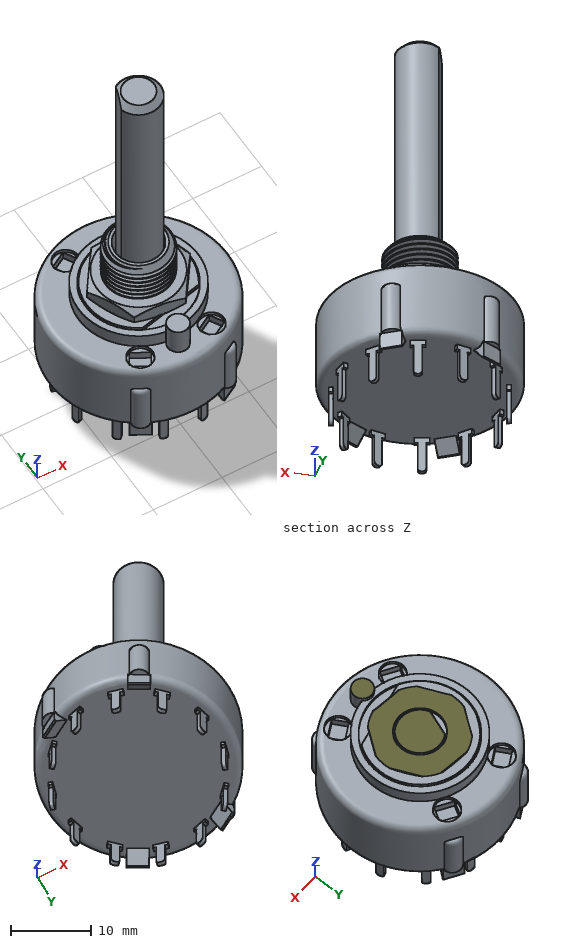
import cadquery as cq
import math


body_dia = 26.0
body_bottom = 5.0
body_top = 15.55
body_fillet = 1.0
boss_dia = 17.3
boss_top = 17.55

recess_dia = 15.3
recess_depth = 0.35
washer_dia = 15.0
washer_top = 17.7
washer_flat_distance = 5.65
washer_flat_angle = -76.5

nut_across_flats = 12.4
nut_top = 20.0
nut_angle = -5.6
nut_face_dia = 12.0
nut_chamfer_slope = math.radians(30)

thread_dia = 9.5
thread_depth = 0.65
thread_pitch = 0.8
thread_start = 18.7
thread_start_angle = 90
thread_crest_width = 0.1
thread_overcut = 0.1
bushing_top = 25.55
bushing_chamfer = 0.95
bore_dia = 6.7

shaft_dia = 6.3
shaft_top = 55.5
shaft_tip_dia = 4.5
shaft_tip_height = 0.85
shaft_flat_distance = 2.55
shaft_flat_angle = 160

locator_dia = 3.0
locator_radius = 9.5
locator_top = 19.5

pocket_radius = 10.4
pocket_dia = 3.55
pocket_depth = 0.5
socket_width = 2.7
socket_length = 2.2
socket_depth = 1.6

clip_angles = (60, 120, 240, 300)
post_radius = 12.3
post_dia = 2.8
post_bottom = 5.5
post_top = 12.5
post_fillet = 0.5
foot_width = 2.85
foot_face_radius = 13.0
foot_bottom = 3.3
foot_tip_thickness = 0.3
foot_root_thickness = 2.3

terminal_count = 12
terminal_radius = 11.1
terminal_width = 1.1
terminal_thickness = 0.55
terminal_tip_fillet = 0.5
shoulder_width = 1.95
shoulder_bottom = 4.3


def cylinder(diameter, bottom, top):
    return cq.Workplane("XY").workplane(offset=bottom).circle(diameter / 2).extrude(top - bottom)


def block(length_x, length_y, bottom, top):
    return cq.Workplane("XY").workplane(offset=bottom).rect(length_x, length_y).extrude(top - bottom)


def at_polar(shape, radius, angle):
    """Move a shape out along +X, then turn it about Z."""
    return shape.translate((radius, 0, 0)).rotate((0, 0, 0), (0, 0, 1), angle)


def beyond_flat(distance, angle, size, bottom, top):
    """Block filling everything outside a flat that lies at a distance from the axis."""
    return at_polar(block(size, 2 * size, bottom, top), distance + size / 2, angle)


def make_housing():
    housing = cylinder(body_dia, body_bottom, body_top).edges().fillet(body_fillet)
    boss = cylinder(boss_dia, body_top - body_fillet, boss_top)
    recess = cylinder(recess_dia, boss_top - recess_depth, boss_top)
    return housing.union(boss).cut(recess)


def make_washer():
    bottom = boss_top - recess_depth
    washer = cylinder(washer_dia, bottom, washer_top)
    return washer.cut(beyond_flat(washer_flat_distance, washer_flat_angle, washer_dia, bottom, washer_top))


def make_nut():
    corner_radius = nut_across_flats / 2 / math.cos(math.radians(30))
    face_radius = nut_face_dia / 2
    drop = (corner_radius - face_radius) * math.tan(nut_chamfer_slope)
    hexagon = (
        cq.Workplane("XY").workplane(offset=washer_top)
        .polygon(6, 2 * corner_radius).extrude(nut_top - washer_top)
        .rotate((0, 0, 0), (0, 0, 1), nut_angle)
    )
    envelope = (
        cq.Workplane("XZ")
        .polyline([
            (0, washer_top),
            (face_radius, washer_top),
            (corner_radius, washer_top + drop),
            (corner_radius, nut_top - drop),
            (face_radius, nut_top),
            (0, nut_top),
        ])
        .close().revolve(360, (0, 0, 0), (0, 1, 0))
    )
    return hexagon.intersect(envelope)


def make_thread_groove():
    """Right-handed V groove, ruled between three helices, that runs out above the bushing."""
    root_radius = thread_dia / 2 - thread_depth
    mouth_radius = thread_dia / 2 + thread_overcut
    half_mouth = (thread_pitch - thread_crest_width) / 2
    height = bushing_top + thread_pitch - thread_start

    def helix(radius, rise):
        return cq.Wire.makeHelix(thread_pitch, height, radius).translate(cq.Vector(0, 0, thread_start + rise))

    edges = [helix(root_radius, 0), helix(mouth_radius, half_mouth), helix(mouth_radius, -half_mouth)]
    faces = []
    for index, edge in enumerate(edges):
        faces.append(cq.Face.makeRuledSurface(edge, edges[index - 1]))
    for end in (0, 1):
        corners = [edge.positionAt(end) for edge in edges]
        faces.append(cq.Face.makeFromWires(cq.Wire.makePolygon(corners, close=True)))
    groove = cq.Workplane(cq.Solid.makeSolid(cq.Shell.makeShell(faces)))
    return at_polar(groove, 0, thread_start_angle)


def make_bushing():
    blank = cylinder(thread_dia, washer_top, bushing_top)
    envelope = cylinder(thread_dia, washer_top, bushing_top).faces(">Z").chamfer(bushing_chamfer)
    return blank.cut(make_thread_groove()).intersect(envelope)


def make_shaft():
    tip_step = (shaft_dia - shaft_tip_dia) / 2
    shaft = cylinder(shaft_dia, body_top, shaft_top).faces(">Z").chamfer(shaft_tip_height, tip_step)
    return shaft.cut(beyond_flat(shaft_flat_distance, shaft_flat_angle, shaft_dia, washer_top, shaft_top))


def make_pocket():
    counterbore = cylinder(pocket_dia, body_top - pocket_depth, body_top)
    return counterbore.union(block(socket_length, socket_width, body_top - socket_depth, body_top))


def make_post():
    return cylinder(post_dia, post_bottom, post_top).faces(">Z").edges().fillet(post_fillet)


def make_foot():
    return (
        cq.Workplane("XZ")
        .polyline([
            (foot_face_radius, foot_bottom),
            (foot_face_radius, post_bottom),
            (foot_face_radius - foot_root_thickness, post_bottom),
            (foot_face_radius - foot_tip_thickness, foot_bottom),
        ])
        .close().extrude(foot_width / 2, both=True)
    )


def make_terminal():
    root = body_bottom + body_fillet
    blade = block(terminal_thickness, terminal_width, 0, root)
    blade = blade.faces("<Z").edges("|X").fillet(terminal_tip_fillet)
    return blade.union(block(terminal_thickness, shoulder_width, shoulder_bottom, root))


result = make_housing()
for angle in clip_angles:
    result = result.union(at_polar(make_post(), post_radius, angle))
    result = result.union(at_polar(make_foot(), 0, angle))
    result = result.cut(at_polar(make_pocket(), pocket_radius, angle))

terminal_step = 360 / terminal_count
for index in range(terminal_count):
    terminal_angle = (index + 0.5) * terminal_step
    result = result.union(at_polar(make_terminal(), terminal_radius, terminal_angle))

locator = cylinder(locator_dia, body_top - body_fillet, locator_top)
result = result.union(at_polar(locator, locator_radius, -90))

result = result.union(make_washer())
result = result.union(make_bushing())
result = result.union(make_nut())
result = result.cut(cylinder(bore_dia, washer_top, bushing_top))
result = result.union(make_shaft())